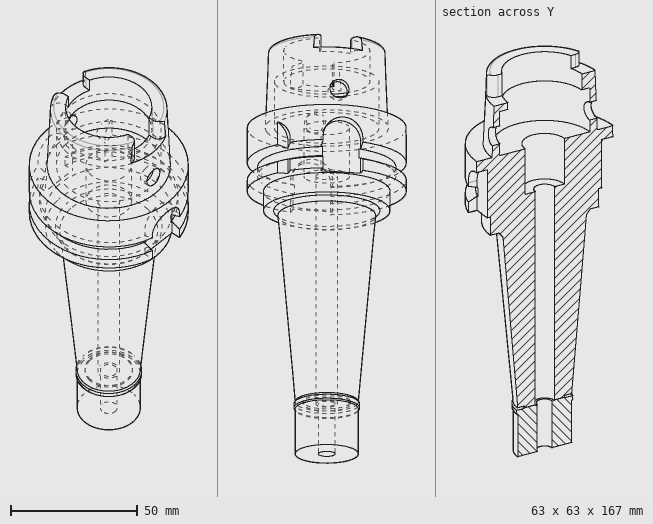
import cadquery as cq

total_length = 167.0

nut_height = 20.7
nut_radius = 12.5
nut_collar_radius = 13.0
nut_collar_height = 1.7
nut_collar_chamfer = nut_collar_radius - nut_radius
nut_hole_radius = 3.3

neck_radius = 9.4
neck_height = 0.8
body_tip_radius = 12.5
body_root_radius = 19.4

flange_diameter = 63.0
flange_radius = flange_diameter / 2
flange_height = 26.2
groove_floor_radius = 27.4
groove_center_depth = 18.0
groove_mouth_width = 7.0
groove_floor_width = 3.7
shoulder_radius = 25.0
shoulder_height = 8.0
shoulder_cone_radius = 21.0
shoulder_cone_height = 2.0

shank_height = 32.0
shank_root_radius = 24.4
shank_tip_radius = 23.0
shank_tip_fillet = 1.3
mouth_radius = 17.0
mouth_depth = 12.9
chamber_radius = 20.7
tube_bore_radius = 9.0
tube_bore_depth = 20.0
channel_radius = 4.3

notch_width = 12.5
notch_half_width = notch_width / 2
notch_corner_radius = 3.2
notch_relief_x = 21.0
notch_depth_left = 5.7
notch_depth_right = 9.7

cross_hole_radius = 3.8
cross_hole_depth = 23.0

keyway_radius = 8.0
keyway_center_depth = 13.0
keyway_floor_x = 26.4
side_keyway_radius = 9.5
side_keyway_edge_y = 20.0
side_keyway_y = side_keyway_edge_y + side_keyway_radius
side_keyway_floor_x = 20.0

body_tip_z = nut_height + neck_height
face_z = total_length - shank_height
flange_bottom_z = face_z - flange_height
shoulder_bottom_z = flange_bottom_z - shoulder_height
body_root_z = shoulder_bottom_z - shoulder_cone_height
groove_z = face_z - groove_center_depth


def cylinder(radius, bottom_z, top_z):
    return cq.Workplane("XY").workplane(offset=bottom_z).circle(radius).extrude(top_z - bottom_z)


def revolve_about_z(points):
    return cq.Workplane("XZ").polyline(points).close().revolve(360, (0, 0, 0), (0, 1, 0))


def holder_blank():
    blank = revolve_about_z([
        (0, nut_height),
        (neck_radius, nut_height),
        (neck_radius, body_tip_z),
        (body_tip_radius, body_tip_z),
        (body_root_radius, body_root_z),
        (shoulder_cone_radius, shoulder_bottom_z),
        (shoulder_radius, shoulder_bottom_z),
        (shoulder_radius, flange_bottom_z),
        (flange_radius, flange_bottom_z),
        (flange_radius, groove_z - groove_mouth_width / 2),
        (groove_floor_radius, groove_z - groove_floor_width / 2),
        (groove_floor_radius, groove_z + groove_floor_width / 2),
        (flange_radius, groove_z + groove_mouth_width / 2),
        (flange_radius, face_z),
        (shank_root_radius, face_z),
        (shank_tip_radius, total_length),
        (0, total_length),
    ])
    return blank.faces(">Z").edges().fillet(shank_tip_fillet)


def holder_bore():
    """Shank mouth, wider chamber behind it, tube bore and through channel."""
    mouth = cylinder(mouth_radius, total_length - mouth_depth, total_length)
    chamber = cylinder(chamber_radius, face_z, total_length - mouth_depth)
    tube_bore = cylinder(tube_bore_radius, face_z - tube_bore_depth, face_z)
    channel = cylinder(channel_radius, nut_height, face_z - tube_bore_depth)
    return mouth.union(chamber).union(tube_bore).union(channel)


def drive_notch(side, depth):
    """Rim notch on the side -1 or +1 of X; its walls round outward into a relief."""
    arc_start_x = notch_relief_x - notch_corner_radius
    relief_y = notch_half_width + notch_corner_radius
    return (
        cq.Workplane("XY")
        .workplane(offset=total_length - depth)
        .moveTo(0, -notch_half_width)
        .lineTo(side * arc_start_x, -notch_half_width)
        .radiusArc((side * notch_relief_x, -relief_y), side * notch_corner_radius)
        .lineTo(side * notch_relief_x, -shank_root_radius)
        .lineTo(side * shank_root_radius, -shank_root_radius)
        .lineTo(side * shank_root_radius, shank_root_radius)
        .lineTo(side * notch_relief_x, shank_root_radius)
        .lineTo(side * notch_relief_x, relief_y)
        .radiusArc((side * arc_start_x, notch_half_width), side * notch_corner_radius)
        .lineTo(0, notch_half_width)
        .close()
        .extrude(depth)
    )


def keyway(side, center_y, radius, floor_x):
    """Round-topped keyway, open at the flange underside, cut from the rim in to floor_x."""
    center_z = face_z - keyway_center_depth
    return (
        cq.Workplane("YZ")
        .workplane(offset=side * floor_x)
        .moveTo(center_y - radius, flange_bottom_z)
        .lineTo(center_y - radius, center_z)
        .threePointArc((center_y, center_z + radius), (center_y + radius, center_z))
        .lineTo(center_y + radius, flange_bottom_z)
        .close()
        .extrude(side * (flange_radius - floor_x))
    )


def cross_hole():
    return (
        cq.Workplane("YZ")
        .center(0, total_length - cross_hole_depth)
        .circle(cross_hole_radius)
        .extrude(shank_root_radius, both=True)
    )


def make_holder():
    holder = holder_blank().cut(holder_bore()).cut(cross_hole())
    for side, depth in ((-1, notch_depth_left), (1, notch_depth_right)):
        holder = holder.cut(drive_notch(side, depth))
        holder = holder.cut(keyway(side, 0, keyway_radius, keyway_floor_x))
    return holder.cut(keyway(-1, side_keyway_y, side_keyway_radius, side_keyway_floor_x))


def make_nut():
    collar_bottom_z = nut_height - nut_collar_height
    return revolve_about_z([
        (nut_hole_radius, 0),
        (nut_radius, 0),
        (nut_radius, collar_bottom_z - nut_collar_chamfer),
        (nut_collar_radius, collar_bottom_z),
        (nut_collar_radius, nut_height),
        (nut_hole_radius, nut_height),
    ])


holder = make_holder()
nut = make_nut()

result = cq.Compound.makeCompound([holder.val(), nut.val()])